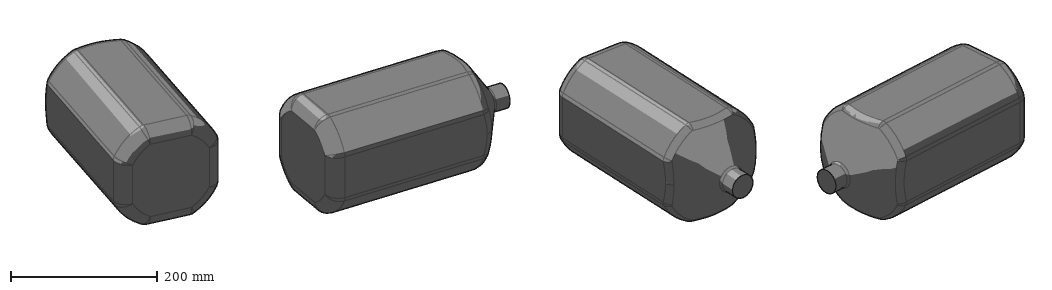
import cadquery as cq

length = 320.0
width = 155.0
body_radius = 85.0

neck_radius = 18.0
neck_length = 24.3
shoulder_end = 70.7

flat_edge_fillet = 13.0
shoulder_fillet = 13.5
base_fillet = 20.0
neck_fillet = 4.8


def revolved_body():
    """Solid of revolution holding the neck, conical shoulder and round body."""
    return (
        cq.Workplane("XY")
        .lineTo(0, neck_radius)
        .lineTo(neck_length, neck_radius)
        .lineTo(shoulder_end, body_radius)
        .lineTo(length, body_radius)
        .lineTo(length, 0)
        .close()
        .revolve(360, (0, 0, 0), (1, 0, 0))
    )


def flat_sided_envelope():
    """Square bar that trims four flats onto the round body."""
    return cq.Workplane("XY").box(length, width, width, centered=(False, True, True))


bottle = revolved_body().intersect(flat_sided_envelope())

bottle = bottle.edges("|X").edges(cq.selectors.BoxSelector(
    (shoulder_end, -width, -width), (length, width, width))).fillet(flat_edge_fillet)

bottle = bottle.faces(">X").edges().fillet(base_fillet)

shoulder_edges = cq.selectors.BoxSelector(
    (neck_length + neck_radius, -width, -width), (shoulder_end + shoulder_fillet, width, width))
bottle = bottle.edges(shoulder_edges).edges("not |X").fillet(shoulder_fillet)

neck_edge = cq.selectors.BoxSelector(
    (neck_length / 2, -width, -width), (neck_length + neck_fillet, width, width))
bottle = bottle.edges(neck_edge).edges("%CIRCLE").fillet(neck_fillet)

result = bottle